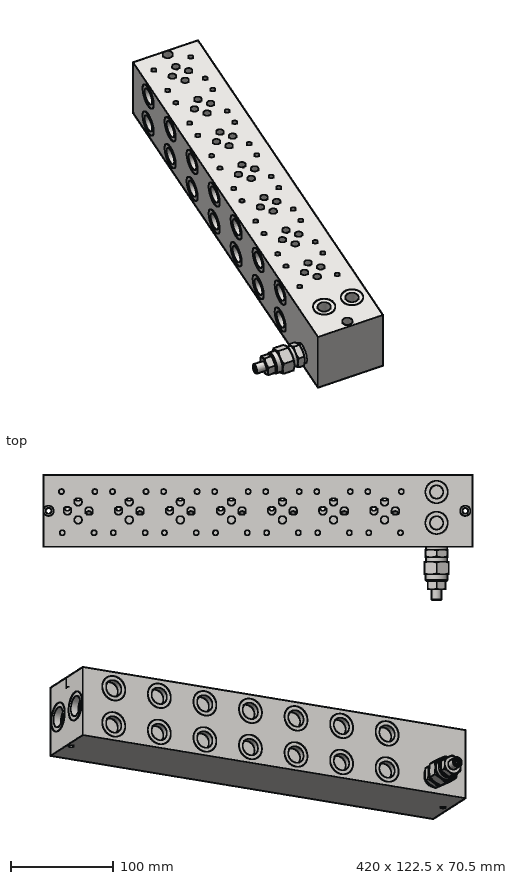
import cadquery as cq
import math

LENGTH = 420.0
DEPTH = 70.5
HEIGHT = 70.5
MIDDLE_Y = DEPTH / 2
MIDDLE_Z = HEIGHT / 2

STATION_COUNT = 7
STATION_PITCH = 50.0
FIRST_STATION_X = 34.0
station_xs = [FIRST_STATION_X + i * STATION_PITCH for i in range(STATION_COUNT)]

BOLT_DIAMETER = 5.0
BOLT_DEPTH = 12.5
FRONT_BOLT_Y = 14.0
REAR_BOLT_Y = 54.0
FRONT_BOLT_OFFSET = 15.5
REAR_BOLT_OFFSET = 16.5
PORT_DIAMETER = 7.5
FRONT_PORT_Y = 26.5
REAR_PORT_Y = 44.0
SIDE_PORT_OFFSET = 10.5
PORT_DEPTH = 12.5

SLANT_RISE = 3.8
SIDE_SLANT_OFFSET = 1.5
REAR_SLANT_OFFSET = 2.5
SLANT_TRAVEL = 8.5

SPOTFACE_DEPTH = 0.5
SERVICE_DIAMETER = 17.0
SERVICE_SPOTFACE = 25.0
SERVICE_DEPTH = 8.0
UPPER_ROW_Z = 53.8
LOWER_ROW_Z = 16.5

END_DIAMETER = 20.0
END_SPOTFACE = 29.0
END_DEPTH = 8.5
END_FRONT_Y = 17.0
END_REAR_Y = 54.0

TOP_PORT_X = 384.7
TOP_PORT_DIAMETER = 13.0
TOP_PORT_SPOTFACE = 22.0
TOP_PORT_DEPTH = 14.0
TOP_PORT_FRONT_Y = 23.5
TOP_PORT_REAR_Y = 53.8

MOUNT_DIAMETER = 5.5
MOUNT_HEAD_DIAMETER = 10.0
MOUNT_HEAD_DEPTH = 10.5
LEFT_MOUNT_X = MOUNT_HEAD_DIAMETER / 2
RIGHT_MOUNT_INSET = 7.0

VALVE_X = TOP_PORT_X
VALVE_Z = LOWER_ROW_Z
NECK_DIAMETER = 21.0
NUT_FLATS = 22.0
NUT_START = 2.5
NUT_END = 10.0
BODY_FLATS = 24.0
BODY_START = 14.3
BODY_END = 27.0
COLLAR_DIAMETER = 22.0
COLLAR_END = 33.5
COLLAR_CHAMFER = 1.3
LOCKNUT_FLATS = 17.5
LOCKNUT_END = 41.5
STUD_DIAMETER = 10.0
STUD_END = 52.0
STUD_CHAMFER = 1.0
SOCKET_CORNERS = 5.5
SOCKET_DEPTH = 3.8
HEX_CHAMFER_ANGLE = 30.0


UP = (0, 0, 1)
DOWN = (0, 0, -1)
INWARD = (0, 1, 0)
ALONG = (1, 0, 0)


def rod(diameter, length, start, direction):
    cylinder = cq.Solid.makeCylinder(diameter / 2, length, cq.Vector(*start), cq.Vector(*direction))
    return cq.Workplane(cylinder)


def spotfaced_port(diameter, spotface, depth, start, direction):
    return rod(diameter, depth, start, direction).union(rod(spotface, SPOTFACE_DEPTH, start, direction))


def slant_footed_port(x, y, offset, heading):
    """Straight hole from the top whose foot turns into a slanted drilling; heading is +1 or -1 along Y."""
    straight = rod(PORT_DIAMETER, PORT_DEPTH, (x, y, HEIGHT), DOWN)
    start = (x, y + heading * offset, HEIGHT - PORT_DEPTH + SLANT_RISE)
    slanted = rod(PORT_DIAMETER, SLANT_TRAVEL * math.sqrt(2), start, (0, heading, -1))
    return straight.union(slanted)


def station_holes(x):
    """All drillings of one valve station, on the top and front faces."""
    holes = rod(PORT_DIAMETER, PORT_DEPTH, (x, FRONT_PORT_Y, HEIGHT), DOWN)
    holes = holes.union(slant_footed_port(x, REAR_PORT_Y, REAR_SLANT_OFFSET, 1))
    for side in (-1, 1):
        holes = holes.union(slant_footed_port(x + side * SIDE_PORT_OFFSET, MIDDLE_Y, SIDE_SLANT_OFFSET, -side))
    for y, offset in ((FRONT_BOLT_Y, FRONT_BOLT_OFFSET), (REAR_BOLT_Y, REAR_BOLT_OFFSET)):
        for side in (-1, 1):
            holes = holes.union(rod(BOLT_DIAMETER, BOLT_DEPTH, (x + side * offset, y, HEIGHT), DOWN))
    for z in (UPPER_ROW_Z, LOWER_ROW_Z):
        holes = holes.union(
            spotfaced_port(SERVICE_DIAMETER, SERVICE_SPOTFACE, SERVICE_DEPTH, (x, 0, z), INWARD)
        )
    return holes


def mounting_hole(x):
    start = (x, MIDDLE_Y, HEIGHT)
    head = rod(MOUNT_HEAD_DIAMETER, MOUNT_HEAD_DEPTH, start, DOWN)
    return head.union(rod(MOUNT_DIAMETER, HEIGHT, start, DOWN))


def hexagon(flats, start, end, chamfer_start):
    """Hexagon on the valve axis, corners up and down, turned down to its flats at the chamfered ends."""
    corner_radius = flats / math.sqrt(3)
    turned_radius = flats / 2
    run = (corner_radius - turned_radius) * math.tan(math.radians(HEX_CHAMFER_ANGLE))
    prism = (
        cq.Workplane("XY", origin=(0, 0, start))
        .transformed(rotate=(0, 0, 30))
        .polygon(6, 2 * corner_radius)
        .extrude(end - start)
    )
    outline = cq.Workplane("XZ").moveTo(0, start)
    if chamfer_start:
        outline = outline.lineTo(turned_radius, start).lineTo(corner_radius, start + run)
    else:
        outline = outline.lineTo(corner_radius, start)
    outline = outline.lineTo(corner_radius, end - run).lineTo(turned_radius, end).lineTo(0, end)
    envelope = outline.close().revolve(360, (0, 0, 0), (0, 1, 0))
    return prism.intersect(envelope)


def valve():
    """Cartridge valve built up along +Z, then laid down to point out of the front face."""
    nut = hexagon(NUT_FLATS, NUT_START, NUT_END, True)
    body = hexagon(BODY_FLATS, BODY_START, BODY_END, True)
    locknut = hexagon(LOCKNUT_FLATS, COLLAR_END, LOCKNUT_END, False)
    neck = rod(NECK_DIAMETER, BODY_START, (0, 0, 0), UP)
    collar = rod(COLLAR_DIAMETER, COLLAR_END - BODY_END, (0, 0, BODY_END), UP)
    collar = collar.faces(">Z").chamfer(COLLAR_CHAMFER)
    stud = rod(STUD_DIAMETER, STUD_END - LOCKNUT_END, (0, 0, LOCKNUT_END), UP)
    stud = stud.faces(">Z").chamfer(STUD_CHAMFER)
    socket = (
        cq.Workplane("XY", origin=(0, 0, STUD_END - SOCKET_DEPTH))
        .polygon(6, SOCKET_CORNERS)
        .extrude(SOCKET_DEPTH)
    )
    upright = neck.union(nut).union(body).union(collar).union(locknut).union(stud).cut(socket)
    return upright.rotate((0, 0, 0), (1, 0, 0), 90).translate((VALVE_X, 0, VALVE_Z))


result = cq.Workplane("XY").box(LENGTH, DEPTH, HEIGHT, centered=False)
for x in station_xs:
    result = result.cut(station_holes(x))
for y in (END_FRONT_Y, END_REAR_Y):
    end_port = spotfaced_port(END_DIAMETER, END_SPOTFACE, END_DEPTH, (0, y, MIDDLE_Z), ALONG)
    result = result.cut(end_port)
for y in (TOP_PORT_FRONT_Y, TOP_PORT_REAR_Y):
    top_port = spotfaced_port(TOP_PORT_DIAMETER, TOP_PORT_SPOTFACE, TOP_PORT_DEPTH, (TOP_PORT_X, y, HEIGHT), DOWN)
    result = result.cut(top_port)
for x in (LEFT_MOUNT_X, LENGTH - RIGHT_MOUNT_INSET):
    result = result.cut(mounting_hole(x))
result = result.union(valve())